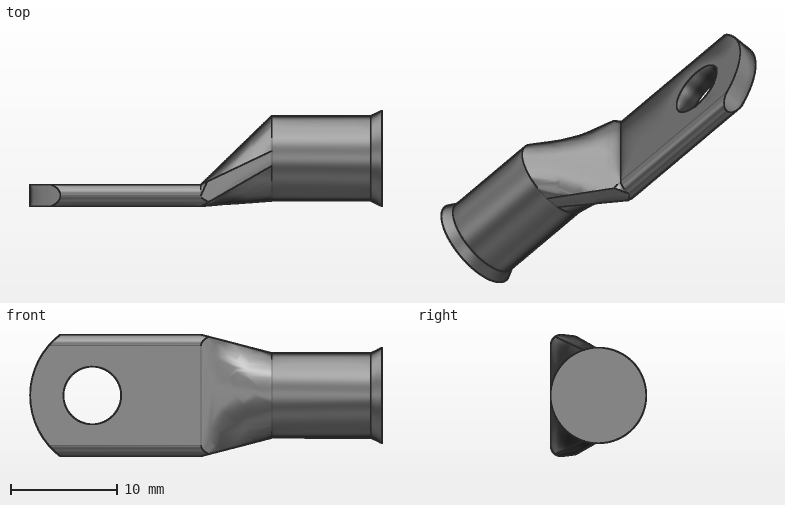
import cadquery as cq
import math

overall_length = 33.06
palm_length = 16.06
barrel_start = 22.7
flare_length = 1.05

palm_width = 11.43
palm_thickness = 2.05
palm_tip_radius = 7.15
edge_flat = 0.01
edge_radius = (palm_thickness - edge_flat) / 2
hole_diameter = 5.4
hole_distance = 5.85

barrel_radius = 4.0
mouth_radius = 4.5
side_strip_width = 1.4

palm_front = -mouth_radius
palm_back = palm_front + palm_thickness
palm_middle = (palm_front + palm_back) / 2
flare_start = overall_length - flare_length


def section_plane(x):
    """Plane across the part: local x is -Z, local y is Y, normal is +X."""
    return cq.Plane(origin=(x, 0, 0), xDir=(0, 0, -1), normal=(1, 0, 0))


def palm_outline(x):
    """Rectangular section of the flattened tongue."""
    return (
        cq.Workplane(section_plane(x))
        .center(0, palm_middle)
        .rect(palm_width, palm_thickness)
    )


def barrel_outline(x):
    """Circle split into front, back and two narrow side arcs to pair with the palm section."""
    half_strip = side_strip_width / 2
    side = math.sqrt(barrel_radius**2 - half_strip**2)
    return (
        cq.Workplane(section_plane(x))
        .moveTo(-side, -half_strip)
        .threePointArc((0, -barrel_radius), (side, -half_strip))
        .threePointArc((barrel_radius, 0), (side, half_strip))
        .threePointArc((0, barrel_radius), (-side, half_strip))
        .threePointArc((-barrel_radius, 0), (-side, -half_strip))
        .close()
    )


def make_tip_waste():
    """Material beyond the arc-shaped tip of the palm."""
    tip_half_width = palm_width / 2
    tip_depth = palm_tip_radius - math.sqrt(palm_tip_radius**2 - tip_half_width**2)
    return (
        cq.Workplane("XZ", origin=(0, palm_back, 0))
        .moveTo(tip_depth, -tip_half_width)
        .threePointArc((0, 0), (tip_depth, tip_half_width))
        .lineTo(0, tip_half_width)
        .lineTo(0, -tip_half_width)
        .close()
        .extrude(palm_thickness)
    )


def make_stud_hole():
    """Through hole in the palm."""
    return (
        cq.Workplane("XZ", origin=(hole_distance, palm_back, 0))
        .circle(hole_diameter / 2)
        .extrude(palm_thickness)
    )


def round_palm_edges(body):
    """Round the four long palm edges; the rounding runs out into the neck."""
    return body.edges("|X").fillet(edge_radius)


def make_neck():
    """Straight-sided blend from the palm section to the barrel circle."""
    palm_end = palm_outline(palm_length).val()
    barrel_end = barrel_outline(barrel_start).val()
    return cq.Workplane(cq.Solid.makeLoft([palm_end, barrel_end], True))


def make_barrel():
    """Round barrel that ends in a conical flared mouth."""
    return (
        cq.Workplane("XY")
        .moveTo(barrel_start, 0)
        .lineTo(barrel_start, barrel_radius)
        .lineTo(flare_start, barrel_radius)
        .lineTo(overall_length, mouth_radius)
        .lineTo(overall_length, 0)
        .close()
        .revolve(360, (0, 0, 0), (1, 0, 0))
    )


palm = palm_outline(0).extrude(palm_length)
tongue = round_palm_edges(palm.union(make_neck()))
result = tongue.union(make_barrel()).cut(make_tip_waste()).cut(make_stud_hole())